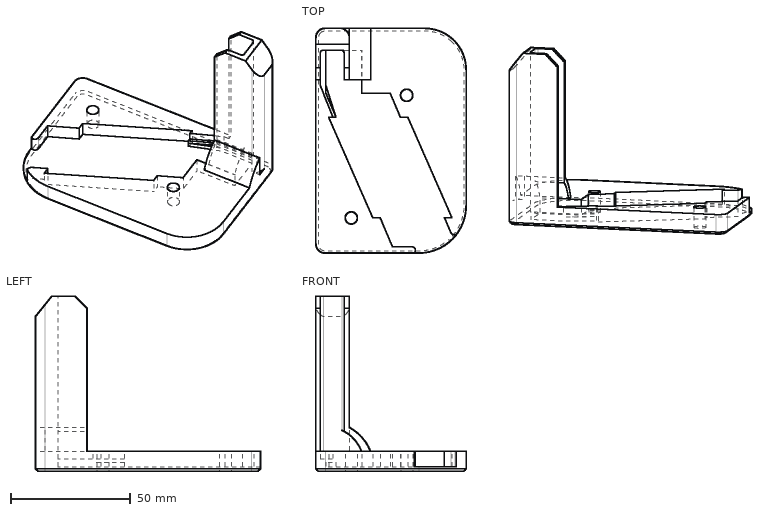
import cadquery as cq

LENGTH = 94.5
WIDTH = 63.2
HEIGHT = 73.5

BASE_HEIGHT = 8.5
SMALL_CORNER_RADIUS = 4.0
REAR_CORNER_RADIUS = 17.5
FRONT_CORNER_RADIUS = 20.0
BOTTOM_CHAMFER = 1.0
HOLE_DIAMETER = 5.0
HOLE_CENTERS = [(38.2, 66.3), (14.9, 14.8)]

FLOOR_HEIGHT = 2.0
POCKET_LEFT = 4.25
POCKET_RIGHT = 19.3
POCKET_BACK = 85.2
BEND_Y = 67.2
REAR_STEP_Y = 57.2
FRONT_STEP_Y = 14.9
RIGHT_LIP_Y = 7.7
LEFT_LIP_Y = 2.7
LEFT_LIP_RADIUS = 1.6
RIGHT_LIP_RADIUS = 2.0
LEFT_LIP_TIP_X = 41.9
OPENING_MARGIN = 0.9
END_SPACING = 27.0
BODY_SPACING = 33.3
STEP_WIDTH = 3.1
BODY_SLOPE = 0.439
END_SLOPE = 0.424

RELIEF_HEIGHT = 5.2
LEDGE_HEIGHT = 3.8
RELIEF_FRONT_Y = 70.5
RELIEF_END_X = 7.2

TOWER_WIDTH = 14.1
TOWER_FRONT = 72.8
CAVITY_LEFT = 1.9
CAVITY_RIGHT = 11.9
CAVITY_LEFT_RADIUS = 1.2
CAVITY_RIGHT_RADIUS = 1.0
FRONT_BEVEL = 5.1
REAR_BEVEL_DEPTH = 6.8
REAR_BEVEL_HEIGHT = 8.5

BULGE_AXIS = (4.3, 0.8)
BULGE_RADIUS = 20.2
HOLLOW_AXIS = (4.4, 2.8)
HOLLOW_RADIUS = 15.8

REAR_STEP_X = POCKET_LEFT + END_SLOPE * (BEND_Y - REAR_STEP_Y)
BODY_REAR_X = REAR_STEP_X - STEP_WIDTH
BODY_FRONT_X = BODY_REAR_X + BODY_SLOPE * (REAR_STEP_Y - FRONT_STEP_Y)
FRONT_STEP_X = BODY_FRONT_X + STEP_WIDTH
LEFT_LIP_X = FRONT_STEP_X + END_SLOPE * (FRONT_STEP_Y - LEFT_LIP_Y)

RIGHT_BODY_FRONT_X = BODY_FRONT_X + BODY_SPACING
RIGHT_FRONT_STEP_X = RIGHT_BODY_FRONT_X - STEP_WIDTH
RIGHT_LIP_X = RIGHT_FRONT_STEP_X + END_SLOPE * (FRONT_STEP_Y - RIGHT_LIP_Y)
RIGHT_REAR_STEP_X = REAR_STEP_X + END_SPACING
RIGHT_BODY_REAR_X = RIGHT_REAR_STEP_X + STEP_WIDTH
RIGHT_BEND_X = POCKET_LEFT + END_SPACING


def block(x_range, y_range, z_range):
    """Axis-aligned box given by its limits."""
    sizes = [high - low for low, high in (x_range, y_range, z_range)]
    corner = (x_range[0], y_range[0], z_range[0])
    return cq.Workplane("XY").box(*sizes, centered=False).translate(corner)


def prism(points, bottom, top):
    """Vertical prism over a polygon, between two heights."""
    return cq.Workplane("XY", origin=(0, 0, bottom)).polyline(points).close().extrude(top - bottom)


def cylinder_along_y(axis, radius, y_range):
    """Cylinder about a line along Y through the (x, z) point axis."""
    start, end = y_range
    plane = cq.Workplane("XZ", origin=(axis[0], start, axis[1]))
    return plane.circle(radius).extrude(start - end)


def base_plate():
    plate = block((0, WIDTH), (0, LENGTH), (0, BASE_HEIGHT))
    plate = plate.edges("|Z and <X").fillet(SMALL_CORNER_RADIUS)
    plate = plate.edges("|Z and >X and >Y").fillet(REAR_CORNER_RADIUS)
    plate = plate.edges("|Z and >X and <Y").fillet(FRONT_CORNER_RADIUS)
    return plate.faces("<Z").chamfer(BOTTOM_CHAMFER)


def tower():
    """Solid column with bevelled top; its rear corners follow the base plate."""
    side_points = [
        (TOWER_FRONT, 0),
        (TOWER_FRONT, HEIGHT - FRONT_BEVEL),
        (TOWER_FRONT + FRONT_BEVEL, HEIGHT),
        (LENGTH - REAR_BEVEL_DEPTH, HEIGHT),
        (LENGTH, HEIGHT - REAR_BEVEL_HEIGHT),
        (LENGTH, 0),
    ]
    profile = cq.Workplane("YZ").polyline(side_points).close().extrude(TOWER_WIDTH)
    column = profile.edges("|Z and >Y").fillet(SMALL_CORNER_RADIUS)
    above_base = block((0, TOWER_WIDTH), (TOWER_FRONT, LENGTH), (BASE_HEIGHT, HEIGHT))
    return column.intersect(above_base)


def bulge(axis, radius, left_x, y_range):
    """Round body above the base plate, starting at left_x."""
    bar = cylinder_along_y(axis, radius, y_range)
    limits = block((left_x, WIDTH), y_range, (BASE_HEIGHT, HEIGHT))
    return bar.intersect(limits)


def pocket():
    """Stepped, slanted pocket; both lips at its mouth are rounded."""
    points = [
        (POCKET_LEFT, POCKET_BACK),
        (POCKET_LEFT, BEND_Y),
        (REAR_STEP_X, REAR_STEP_Y),
        (BODY_REAR_X, REAR_STEP_Y),
        (BODY_FRONT_X, FRONT_STEP_Y),
        (FRONT_STEP_X, FRONT_STEP_Y),
        (LEFT_LIP_X, LEFT_LIP_Y),
        (LEFT_LIP_TIP_X, LEFT_LIP_Y),
        (LEFT_LIP_TIP_X, -OPENING_MARGIN),
        (WIDTH, -OPENING_MARGIN),
        (WIDTH, RIGHT_LIP_Y),
        (RIGHT_LIP_X, RIGHT_LIP_Y),
        (RIGHT_FRONT_STEP_X, FRONT_STEP_Y),
        (RIGHT_BODY_FRONT_X, FRONT_STEP_Y),
        (RIGHT_BODY_REAR_X, REAR_STEP_Y),
        (RIGHT_REAR_STEP_X, REAR_STEP_Y),
        (RIGHT_BEND_X, BEND_Y),
        (POCKET_RIGHT, BEND_Y),
        (POCKET_RIGHT, POCKET_BACK),
    ]
    body = prism(points, FLOOR_HEIGHT, BASE_HEIGHT)

    right_lip = cq.NearestToPointSelector((RIGHT_LIP_X, RIGHT_LIP_Y, (FLOOR_HEIGHT + BASE_HEIGHT) / 2))
    body = body.edges(right_lip).fillet(RIGHT_LIP_RADIUS)

    nose_x = LEFT_LIP_TIP_X - LEFT_LIP_RADIUS
    nose_y = LEFT_LIP_Y - LEFT_LIP_RADIUS
    pocket_heights = (FLOOR_HEIGHT, BASE_HEIGHT)
    nose_corner = block((nose_x, LEFT_LIP_TIP_X), (-OPENING_MARGIN, LEFT_LIP_Y), pocket_heights)
    nose = cq.Workplane("XY", origin=(nose_x, nose_y, FLOOR_HEIGHT)).circle(LEFT_LIP_RADIUS)
    nose = nose.extrude(BASE_HEIGHT - FLOOR_HEIGHT)
    return body.union(nose_corner.cut(nose))


def relief():
    """Widening of the pocket's left wall, down to a shelf below the tower's cavity."""
    points = [
        (CAVITY_LEFT, TOWER_FRONT),
        (CAVITY_LEFT, RELIEF_FRONT_Y),
        (RELIEF_END_X, REAR_STEP_Y),
        (REAR_STEP_X, REAR_STEP_Y),
        (POCKET_LEFT, BEND_Y),
        (POCKET_LEFT, TOWER_FRONT),
    ]
    return prism(points, RELIEF_HEIGHT, BASE_HEIGHT)


def ledge():
    """Thin low wedge left standing against the bend of the pocket's left wall."""
    points = [(POCKET_LEFT, RELIEF_FRONT_Y), (POCKET_LEFT, BEND_Y), (REAR_STEP_X, REAR_STEP_Y)]
    return prism(points, FLOOR_HEIGHT, LEDGE_HEIGHT)


def tower_cavity():
    """Channel through the tower, from the relief shelf up, open to the front."""
    cavity = block((CAVITY_LEFT, CAVITY_RIGHT), (TOWER_FRONT, POCKET_BACK), (RELIEF_HEIGHT, HEIGHT))
    cavity = cavity.edges("|Z and >Y and <X").fillet(CAVITY_LEFT_RADIUS)
    return cavity.edges("|Z and >Y and >X").fillet(CAVITY_RIGHT_RADIUS)


def screw_holes():
    return cq.Workplane("XY").pushPoints(HOLE_CENTERS).circle(HOLE_DIAMETER / 2).extrude(BASE_HEIGHT)


part = base_plate().union(tower())
part = part.union(bulge(BULGE_AXIS, BULGE_RADIUS, TOWER_WIDTH, (TOWER_FRONT, LENGTH)))

hollow_left = CAVITY_RIGHT - CAVITY_RIGHT_RADIUS
part = part.cut(pocket().cut(ledge()))
part = part.cut(relief())
part = part.cut(tower_cavity())
part = part.cut(bulge(HOLLOW_AXIS, HOLLOW_RADIUS, hollow_left, (TOWER_FRONT, POCKET_BACK)))

result = part.cut(screw_holes())